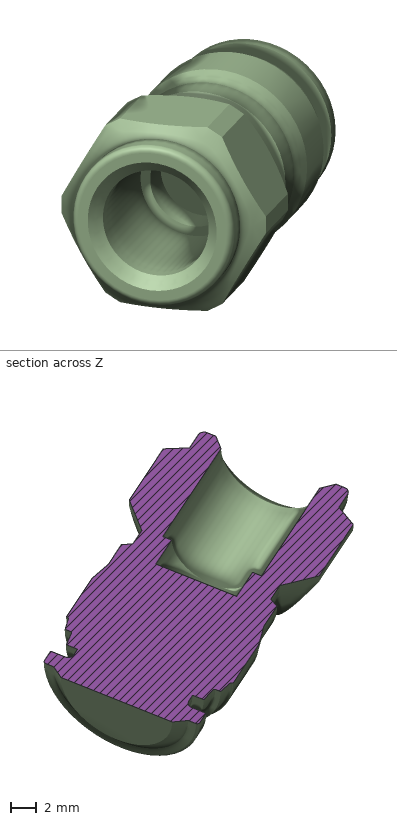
import cadquery as cq
import math

length = 26.9
front_y = -length / 2

hex_across_flats = 15.0
hex_across_corners = 16.55
nut_start = 1.96
nut_end = 11.0
nut_front_cone_angle = 30.0
nut_back_cone_angle = 45.0

collar_radius = 6.5
collar_round = 0.5
socket_mouth_radius = 5.22
socket_radius = 4.28
socket_mouth_depth = socket_mouth_radius - socket_radius
socket_depth = 10.75
inner_bore_radius = 3.5
inner_bore_depth = 13.45

neck_radius = 6.03
neck_end = 12.5
shoulder_radius = 6.78
shoulder_cone_end = 12.9
shoulder_end = 15.17
barrel_radius = 7.25
barrel_start = 17.0
barrel_end = 21.3
barrel_taper_radius = 7.07
barrel_taper_fillet = 0.22
barrel_taper_end = 22.5
end_cap_front_radius = 6.2
end_cap_back_radius = 6.0
end_cap_end = 23.8
end_cap_fillet = 0.15

ring_stem_radius = 5.03
ring_radius = 6.78
ring_face_radius = 4.85
ring_start = 24.88
ring_fillet = 0.45
ring_round = 0.25
ring_cone_radius = 5.86
ring_rim_end = 26.2


def revolve_about_y(points):
    """Solid of revolution from (radius, distance from the front face) points."""
    placed = [(radius, front_y + distance) for radius, distance in points]
    profile = cq.Workplane("XY").polyline(placed).close()
    return profile.revolve(360, (0, 0, 0), (0, 1, 0))


def cylinder(radius, start, end):
    return revolve_about_y([(0, start), (radius, start), (radius, end), (0, end)])


def fillet_circle(solid, radius, distance, fillet_radius):
    """Round the circular edge of the given radius and distance from the front face."""
    tolerance = 0.003

    def is_target(edge):
        same_place = abs(edge.Center().y - front_y - distance) < tolerance
        return same_place and edge.geomType() == "CIRCLE" and abs(edge.radius() - radius) < tolerance

    return solid.edges().filter(is_target).fillet(fillet_radius)


def hexagon(across_flats, corner_on_x):
    """Hexagonal prism over the nut length, with corners or flats facing X."""
    prism = (
        cq.Workplane("XZ", origin=(0, front_y + nut_end, 0))
        .polygon(6, across_flats / math.cos(math.pi / 6))
        .extrude(nut_end - nut_start)
    )
    if corner_on_x:
        return prism
    return prism.rotate((0, 0, 0), (0, 1, 0), 30)


def make_nut():
    blank = hexagon(hex_across_flats, True).intersect(hexagon(hex_across_corners, False))
    outer_radius = hex_across_corners / 2 + 0.27
    front_rise = (outer_radius - collar_radius) * math.tan(math.radians(nut_front_cone_angle))
    back_rise = (outer_radius - neck_radius) * math.tan(math.radians(nut_back_cone_angle))
    envelope = revolve_about_y([
        (0, nut_start),
        (collar_radius, nut_start),
        (outer_radius, nut_start + front_rise),
        (outer_radius, nut_end - back_rise),
        (neck_radius, nut_end),
        (0, nut_end),
    ])
    return blank.intersect(envelope)


def make_collar():
    return cylinder(collar_radius, 0, nut_start).faces("<Y").edges().fillet(collar_round)


def make_body():
    body = revolve_about_y([
        (0, nut_end),
        (neck_radius, nut_end),
        (neck_radius, neck_end),
        (shoulder_radius, shoulder_cone_end),
        (shoulder_radius, shoulder_end),
        (barrel_radius, barrel_start),
        (barrel_radius, barrel_end),
        (barrel_taper_radius, barrel_end),
        (shoulder_radius, barrel_taper_end),
        (end_cap_front_radius, barrel_taper_end),
        (end_cap_back_radius, end_cap_end),
        (0, end_cap_end),
    ])
    body = fillet_circle(body, barrel_taper_radius, barrel_end, barrel_taper_fillet)
    return fillet_circle(body, end_cap_front_radius, barrel_taper_end, end_cap_fillet)


def make_push_ring():
    ring = revolve_about_y([
        (0, end_cap_end),
        (ring_stem_radius, end_cap_end),
        (ring_stem_radius, ring_start),
        (ring_radius, ring_start),
        (ring_radius, ring_rim_end),
        (ring_cone_radius, ring_rim_end),
        (ring_face_radius, length),
        (0, length),
    ])
    ring = fillet_circle(ring, ring_stem_radius, ring_start, ring_fillet)
    return fillet_circle(ring, ring_radius, ring_rim_end, ring_round)


def make_socket():
    return revolve_about_y([
        (0, 0),
        (socket_mouth_radius, 0),
        (socket_radius, socket_mouth_depth),
        (socket_radius, socket_depth),
        (inner_bore_radius, socket_depth),
        (inner_bore_radius, inner_bore_depth),
        (0, inner_bore_depth),
    ])


result = make_nut().union(make_collar()).union(make_body()).union(make_push_ring()).cut(make_socket())